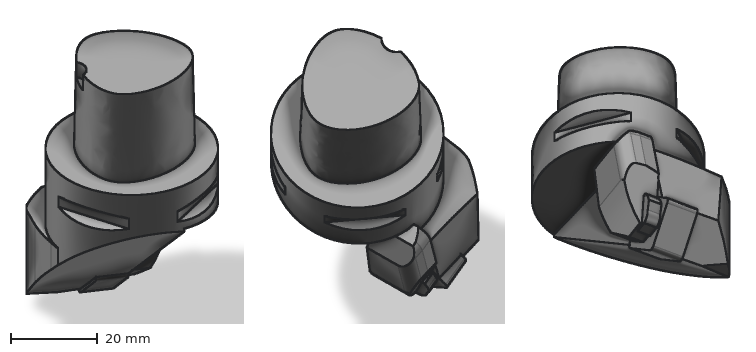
import cadquery as cq
import math


shank_length = 24.0
shank_width_base = 28.0
shank_width_top = 27.0
lobe_height = 0.9
outline_steps = 36
key_radius = 3.5
key_center_y = -14.45
key_depth = 4.15

flange_diameter = 40.0
flange_radius = flange_diameter / 2
notch_count = 4
notch_z = -7.9
notch_floor_distance = 17.65
notch_floor_height = 2.8
notch_mouth_height = 5.1

shoulder_z = -20.9
shoulder_slope = 0.25
head_bottom = -51.9
head_reach = 33.4
head_left_x = -26.7
head_back_y = 14.8
flat_y = -21.5
side_face_top_x = -21.4
side_face_slope = 0.09
clearance_offset = 31.2
insert_side_offset = 65.5
heel_y = -13.9
heel_z = -48.1
heel_slope = 0.3

insert_side = 12.8
insert_corner_radius = 1.2
insert_thickness = 8.1
insert_center = (-18.4, 1.05, -41.6)
tilt = 0.1
rake_plane = cq.Plane(
    origin=insert_center, xDir=(1, tilt, 0), normal=(tilt, -1, tilt)
)

pocket_size = 89.0
pocket_floor_v = 25.35
pocket_floor_angle = 6.7
clamp_right_u = 6.7
clamp_foot_right_u = 3.0
clamp_top_u = -5.1
clamp_top_v = 25.65
clamp_foot_u = -7.5
clamp_foot_v = -3.6
clamp_height = 8.7
clamp_crest_height = 4.5
clamp_crest_v = 24.85
clamp_back_top_v = 19.95
clamp_back_bottom_v = 7.35
clamp_foot_height = 3.85
clamp_corner_radius = 3.7
clamp_strip_height = 5.35
clamp_strip_width = 0.7
clamp_edge_radius = 3.35
clamp_relief_u = -6.3
clamp_relief_v = 12.0
clamp_relief_foot_u = -2.1
clamp_relief_twist = -7.0
nose_top_v = 3.7
nose_foot_v = -4.2
nose_height = 3.4


def lobed_outline(width):
    """Points of a constant-width curve with three lobes, one toward +Y."""
    points = []
    for step in range(outline_steps):
        angle = 2 * math.pi * step / outline_steps
        lobe_angle = 3 * (angle - math.pi / 2)
        distance = width / 2 + lobe_height * math.cos(lobe_angle)
        slope = -3 * lobe_height * math.sin(lobe_angle)
        points.append((
            distance * math.cos(angle) - slope * math.sin(angle),
            distance * math.sin(angle) + slope * math.cos(angle),
        ))
    return points


def make_shank():
    shank = (
        cq.Workplane("XY")
        .spline(lobed_outline(shank_width_base), periodic=True)
        .close()
        .workplane(offset=shank_length)
        .spline(lobed_outline(shank_width_top), periodic=True)
        .close()
        .loft(combine=True)
    )
    key_slot = (
        cq.Workplane("XY", origin=(0, key_center_y, shank_length - key_depth))
        .circle(key_radius)
        .extrude(2 * key_depth)
    )
    return shank.cut(key_slot)


def gripper_notch(angle):
    """Trapezoidal straight groove across the flange rim at one angle."""
    run = flange_radius - notch_floor_distance
    half_floor = notch_floor_height / 2
    half_mouth = notch_mouth_height / 2
    half_outer = 2 * half_mouth - half_floor
    return (
        cq.Workplane("XZ")
        .polyline([
            (notch_floor_distance, notch_z - half_floor),
            (notch_floor_distance + 2 * run, notch_z - half_outer),
            (notch_floor_distance + 2 * run, notch_z + half_outer),
            (notch_floor_distance, notch_z + half_floor),
        ])
        .close()
        .extrude(flange_radius, both=True)
        .rotate((0, 0, 0), (0, 0, 1), angle)
    )


def make_head():
    """Offset head under the flange, with a conical shoulder."""
    head = (
        cq.Workplane("XY", origin=(0, 0, head_bottom))
        .moveTo(head_left_x, head_back_y)
        .lineTo(head_left_x, -11.9)
        .threePointArc((-21.65, -16.9), (-16.4, -20.8))
        .threePointArc((-14.3, -21.35), (-12.1, flat_y))
        .lineTo(-6.2, flat_y)
        .threePointArc((-1.7, -21.05), (2.7, -20.1))
        .lineTo(5.7, -19.2)
        .lineTo(0, head_back_y)
        .close()
        .extrude(shoulder_z - head_bottom)
    )
    shoulder_drop = shoulder_slope * (head_reach - flange_radius)
    shoulder_cone = (
        cq.Workplane("XZ")
        .polyline([
            (0, head_bottom),
            (head_reach, head_bottom),
            (head_reach, shoulder_z - shoulder_drop),
            (flange_radius, shoulder_z),
            (0, shoulder_z),
        ])
        .close()
        .revolve(360, (0, 0), (0, 1))
    )
    return head.intersect(shoulder_cone)


def side_envelope():
    """Prism along Y bounded by the side face and both 45 degree faces."""
    corner_x = (side_face_top_x - side_face_slope * insert_side_offset) / (1 + side_face_slope)
    tip_x = (clearance_offset - insert_side_offset) / 2
    return (
        cq.Workplane("XZ")
        .polyline([
            (side_face_top_x, 0),
            (corner_x, -corner_x - insert_side_offset),
            (tip_x, tip_x - clearance_offset),
            (head_reach, head_reach - clearance_offset),
            (head_reach, 0),
        ])
        .close()
        .extrude(pocket_size, both=True)
    )


def heel_relief():
    """Sloping cut under the outer lower corner of the head."""
    outer_y = -head_reach
    return (
        cq.Workplane("YZ")
        .polyline([
            (heel_y, heel_z),
            (outer_y, heel_z + heel_slope * (heel_y - outer_y)),
            (outer_y, head_bottom),
            (heel_y, head_bottom),
        ])
        .close()
        .extrude(pocket_size, both=True)
    )


def chip_pocket():
    """Everything behind the rake plane and below the sloping pocket floor."""
    return (
        cq.Workplane(rake_plane)
        .transformed(offset=(0, pocket_floor_v, 0), rotate=(0, 0, pocket_floor_angle))
        .center(0, -pocket_size / 2)
        .rect(2 * pocket_size, pocket_size)
        .extrude(-pocket_size)
    )


def nearest_edge(u, v, height):
    """Selector for the edge closest to a point given in the rake plane."""
    return cq.selectors.NearestToPointSelector(rake_plane.toWorldCoords((u, v, -height)))


def clamp_outline():
    """Clamp slab with a round upper corner and a rounded outer edge."""
    middle_u = (clamp_top_u + clamp_foot_u) / 2
    middle_v = (clamp_top_v + clamp_foot_v) / 2
    slab = (
        cq.Workplane(rake_plane)
        .polyline([
            (clamp_top_u, clamp_top_v),
            (clamp_foot_u, clamp_foot_v),
            (clamp_foot_right_u, clamp_foot_v),
            (clamp_right_u, clamp_foot_v + clamp_right_u - clamp_foot_right_u),
            (clamp_right_u, clamp_top_v),
        ])
        .close()
        .extrude(-clamp_height)
    )
    upper_corner = nearest_edge(clamp_top_u, clamp_top_v, clamp_height / 2)
    slab = slab.edges(upper_corner).fillet(clamp_corner_radius)
    slab = slab.edges(nearest_edge(middle_u, middle_v, clamp_height)).chamfer(
        clamp_strip_height, clamp_strip_width
    )
    return slab.edges(
        nearest_edge(middle_u + clamp_strip_width, middle_v, clamp_height)
    ).fillet(clamp_edge_radius)


def clamp_profile():
    """Prism across the clamp that slopes its top and rounds its foot."""
    profile_plane = cq.Plane(
        origin=insert_center, xDir=-rake_plane.zDir, normal=rake_plane.xDir
    )
    return (
        cq.Workplane(profile_plane)
        .moveTo(0, clamp_top_v)
        .lineTo(clamp_crest_height, clamp_crest_v)
        .lineTo(clamp_height, clamp_back_top_v)
        .lineTo(clamp_height, clamp_back_bottom_v)
        .threePointArc((7.05, 1.9), (clamp_foot_height, clamp_foot_v))
        .lineTo(0, clamp_foot_v)
        .close()
        .extrude(pocket_size, both=True)
    )


def clamp_relief():
    """Flat cut leaning inward over the lower left part of the clamp."""
    pivot = rake_plane.toWorldCoords((clamp_relief_u, clamp_relief_v, -nose_height))
    return (
        cq.Workplane(rake_plane)
        .polyline([
            (clamp_relief_u, clamp_relief_v),
            (clamp_relief_foot_u, clamp_foot_v),
            (-insert_side, clamp_foot_v),
            (-insert_side, clamp_relief_v),
        ])
        .close()
        .extrude(2 * clamp_height, both=True)
        .rotate(pivot.toTuple(), (pivot + rake_plane.yDir).toTuple(), clamp_relief_twist)
    )


def clamp_nose():
    """Faceted nose of the clamp, resting on the insert."""
    return (
        cq.Workplane(rake_plane)
        .moveTo(0, nose_top_v)
        .lineTo(-4.9, nose_top_v)
        .lineTo(-5.6, 2.3)
        .lineTo(-5.9, 0.75)
        .lineTo(-5.0, -1.7)
        .threePointArc((-4.3, -3.35), (-3.0, nose_foot_v))
        .lineTo(0, nose_foot_v)
        .close()
        .extrude(-nose_height)
    )


def make_clamp():
    return clamp_outline().intersect(clamp_profile()).cut(clamp_relief()).union(clamp_nose())


def make_insert():
    return (
        cq.Workplane(rake_plane)
        .transformed(rotate=(0, 0, 45))
        .rect(insert_side, insert_side)
        .extrude(insert_thickness)
        .edges(cq.selectors.ParallelDirSelector(rake_plane.zDir))
        .fillet(insert_corner_radius)
    )


def make_holder(insert):
    holder = (
        cq.Workplane("XY", origin=(0, 0, head_bottom))
        .circle(flange_radius)
        .extrude(-head_bottom)
        .union(make_head())
        .intersect(side_envelope())
        .cut(heel_relief())
        .cut(chip_pocket())
        .union(make_clamp())
        .union(make_shank())
    )
    for index in range(notch_count):
        notch_angle = 45 + index * 360 / notch_count
        holder = holder.cut(gripper_notch(notch_angle))
    return holder.cut(insert)


insert = make_insert()
holder = make_holder(insert)

result = cq.Compound.makeCompound([holder.val(), insert.val()])